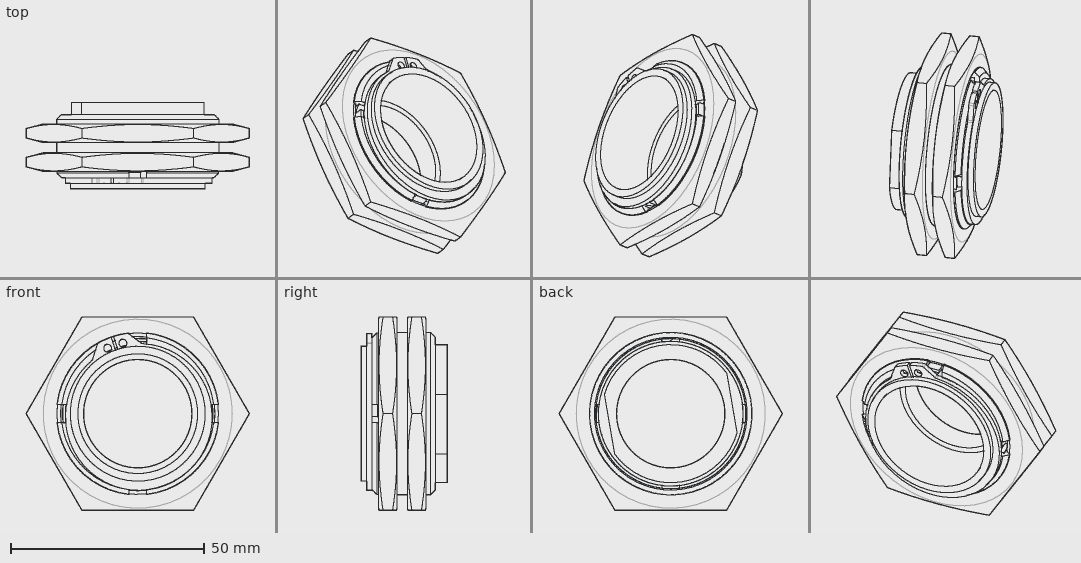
import cadquery as cq
import math


across_corners = 57.75
nut_thickness = 4.85
nut_front_places = (4.5, 11.95)
nut_face_radius = 24.4
nut_chamfer_angle = 15.0
nut_bore_radius = 19.9
nut_mouth_radius = 20.85
nut_countersink = 0.5

housing_front = 2.8
housing_back = 19.2
thread_radius = 21.0
thread_chamfer = 1.25
housing_bore_radius = 19.4
lip_radius = 17.9
lip_thickness = 1.4
slot_depth = 4.9

slot_width = 4.6
slot_count = 4

sleeve_length = 22.35
land_radius = 17.45
groove_radius = 16.6
neck_radius = lip_radius
shoulder_radius = 18.7
sleeve_slot_depth = 5.2
sleeve_slot_floor_radius = 17.55
tail_radius = 17.85
tail_flat_distance = 16.05
sleeve_turn = 9.8
bore_radius = 15.5
small_bore_radius = 13.95
ledge_place = 15.9

ring_front = 1.45
ring_thickness = housing_front - ring_front
ring_radius = 18.965
ring_offset = 0.895
ring_turn = -18.3
ear_radius = 20.9
ear_tip_half_width = 4.15
ear_tip_height = 20.5
ear_tip_round = 0.85
ear_foot_half_width = 7.05
ear_foot_height = 16.45
ear_foot_round = 0.85
ear_gap = 0.65
ear_hole_radius = 1.01
ear_hole_half_spacing = 2.1
ear_hole_height = 18.5

margin = 0.6


def turn_about_axis(shape, angle):
    """Turn a shape about the Y axis; positive angles carry +Z toward +X."""
    return shape.rotate((0, 0, 0), (0, 1, 0), angle)


def disc(radius, front, back):
    """Solid cylinder about the Y axis between two places."""
    return cq.Workplane("XZ", origin=(0, front, 0)).circle(radius).extrude(front - back)


def turned(profile):
    """Solid turned about the Y axis from (radius, Y) points."""
    return cq.Workplane("XY").polyline(profile).close().revolve(360, (0, 0, 0), (0, 1, 0))


def cut_slots(body, front, depth, floor_radius, turn):
    """Cut equally spaced, round-ended radial slots into a body, outside the floor radius."""
    half_width = slot_width / 2
    straight_end = front + depth - half_width
    slot = (
        cq.Workplane("XY")
        .moveTo(-half_width, front)
        .lineTo(half_width, front)
        .lineTo(half_width, straight_end)
        .threePointArc((0, front + depth), (-half_width, straight_end))
        .close()
        .extrude(across_corners / 2)
    )
    if floor_radius > 0:
        slot = slot.cut(disc(floor_radius, front - margin, front + depth + margin))
    for index in range(slot_count):
        body = body.cut(turn_about_axis(slot, index * 360 / slot_count + turn))
    return body


def make_nut(front):
    """Hex nut with both faces chamfered and both ends of its bore countersunk."""
    back = front + nut_thickness
    blank = (
        cq.Workplane("XZ", origin=(0, front, 0))
        .polygon(6, across_corners)
        .extrude(-nut_thickness)
    )
    corner = across_corners / 2
    drop = (corner - nut_face_radius) * math.tan(math.radians(nut_chamfer_angle))
    envelope = turned([
        (nut_mouth_radius, front),
        (nut_face_radius, front),
        (corner, front + drop),
        (corner, back - drop),
        (nut_face_radius, back),
        (nut_mouth_radius, back),
        (nut_bore_radius, back - nut_countersink),
        (nut_bore_radius, front + nut_countersink),
    ])
    return blank.intersect(envelope)


def make_housing(nuts):
    """Threaded tube with a slotted front lip, relieved where the nuts engage it."""
    lip_back = housing_front + lip_thickness
    end_radius = thread_radius - thread_chamfer
    body = turned([
        (lip_radius, housing_front),
        (end_radius, housing_front),
        (thread_radius, housing_front + thread_chamfer),
        (thread_radius, housing_back - thread_chamfer),
        (end_radius, housing_back),
        (housing_bore_radius, housing_back),
        (housing_bore_radius, lip_back),
        (lip_radius, lip_back),
    ])
    body = cut_slots(body, housing_front, slot_depth, 0, 0)
    for nut in nuts:
        body = body.cut(nut)
    return body


def make_sleeve():
    """Stepped inner sleeve with a ring groove, a slotted shoulder and two tail flats."""
    shoulder_front = housing_front + lip_thickness
    body = turned([
        (bore_radius, 0),
        (land_radius, 0),
        (land_radius, ring_front),
        (groove_radius, ring_front),
        (groove_radius, housing_front),
        (neck_radius, housing_front),
        (neck_radius, shoulder_front),
        (shoulder_radius, shoulder_front),
        (shoulder_radius, housing_back),
        (tail_radius, housing_back),
        (tail_radius, sleeve_length),
        (small_bore_radius, sleeve_length),
        (small_bore_radius, ledge_place),
        (bore_radius, ledge_place),
    ])
    body = cut_slots(body, housing_front, sleeve_slot_depth, sleeve_slot_floor_radius, sleeve_turn)
    tail_length = sleeve_length - housing_back
    tail_middle = housing_back + tail_length / 2
    waste_width = 2 * tail_flat_distance
    for side in (-1, 1):
        waste = (
            cq.Workplane("XY")
            .box(waste_width, tail_length, across_corners)
            .translate((side * (tail_flat_distance + waste_width / 2), tail_middle, 0))
        )
        body = body.cut(turn_about_axis(waste, sleeve_turn))
    return body


def round_ring_edges(body, half_width, height, radius):
    """Round the ring edges along Y that lie near the given height on both sides."""
    reach = half_width + margin
    zone = cq.selectors.BoxSelector(
        (-reach, ring_front - margin, height - margin),
        (reach, housing_front + margin, height + 2 * margin),
    )
    return body.edges("|Y").edges(zone).fillet(radius)


def make_ring():
    """Eccentric retaining ring with two drilled ears on either side of its gap."""
    hoop = disc(ring_radius, ring_front, housing_front).translate((0, 0, -ring_offset))
    plane = cq.Workplane("XZ", origin=(0, ring_front, 0))
    ears = (
        plane.moveTo(-ear_foot_half_width, ear_foot_height)
        .lineTo(-ear_tip_half_width, ear_tip_height)
        .threePointArc((0, ear_radius), (ear_tip_half_width, ear_tip_height))
        .lineTo(ear_foot_half_width, ear_foot_height)
        .lineTo(0, 0)
        .close()
        .extrude(-ring_thickness)
    )
    body = hoop.union(ears)
    body = round_ring_edges(body, ear_tip_half_width, ear_tip_height, ear_tip_round)
    body = round_ring_edges(body, ear_foot_half_width, ear_foot_height, ear_foot_round)
    body = body.cut(disc(groove_radius, ring_front, housing_front))
    hole_places = [(side * ear_hole_half_spacing, ear_hole_height) for side in (-1, 1)]
    holes = plane.pushPoints(hole_places).circle(ear_hole_radius).extrude(-ring_thickness)
    gap_length = ear_radius + margin
    gap = plane.center(0, gap_length / 2).rect(ear_gap, gap_length).extrude(-ring_thickness)
    return turn_about_axis(body.cut(holes).cut(gap), ring_turn)


nuts = [make_nut(front) for front in nut_front_places]
housing = make_housing(nuts)
sleeve = make_sleeve()
ring = make_ring()

result = cq.Compound.makeCompound([
    *[nut.val() for nut in nuts],
    housing.val(),
    sleeve.val(),
    ring.val(),
])